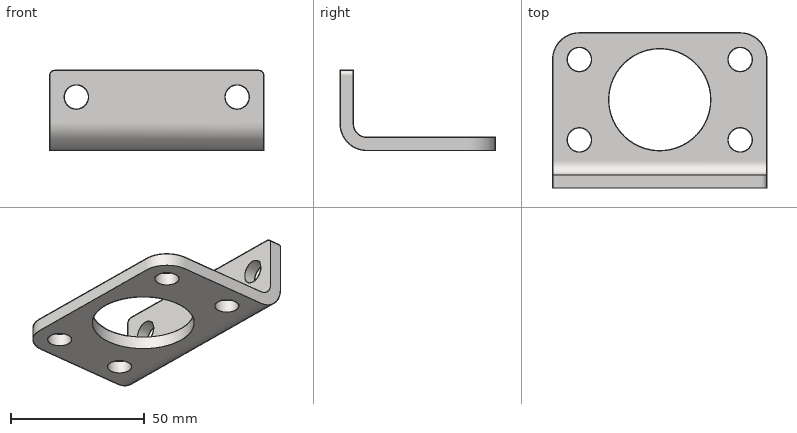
import cadquery as cq

width = 80
depth = 58.0
height = 30.0

bend_outer_radius = 10.0
thickness = bend_outer_radius / 2
bend_inner_radius = bend_outer_radius - thickness

base_corner_radius = 10.0
flange_corner_radius = 2.0

bolt_diameter = 9.0
bolt_edge_distance = 10.0
bolt_spacing_x = width - 2 * bolt_edge_distance
bolt_spacing_y = 30.0
bore_diameter = 38.0

bore_y = depth - bolt_edge_distance - bolt_spacing_y / 2
flange_bolt_z = height - bolt_edge_distance


def bent_sheet():
    """L-shaped sheet, extruded along X and centred on x = 0."""
    profile = (
        cq.Workplane("YZ")
        .moveTo(0, 0)
        .lineTo(depth, 0)
        .lineTo(depth, thickness)
        .lineTo(thickness, thickness)
        .lineTo(thickness, height)
        .lineTo(0, height)
        .close()
    )
    sheet = profile.extrude(width / 2, both=True)
    sheet = sheet.edges("|X and <Y and <Z").fillet(bend_outer_radius)
    inner_corner = cq.selectors.NearestToPointSelector((0, thickness, thickness))
    return sheet.edges("|X").edges(inner_corner).fillet(bend_inner_radius)


def base_cutter():
    """Large bore and the four bolt holes around it, through the base."""
    bore = cq.Workplane("XY").center(0, bore_y).circle(bore_diameter / 2).extrude(thickness)
    bolts = (
        cq.Workplane("XY")
        .center(0, bore_y)
        .rarray(bolt_spacing_x, bolt_spacing_y, 2, 2)
        .circle(bolt_diameter / 2)
        .extrude(thickness)
    )
    return bore.union(bolts)


def flange_cutter():
    """Two bolt holes through the upright flange."""
    return (
        cq.Workplane("XZ")
        .center(0, flange_bolt_z)
        .rarray(bolt_spacing_x, 0.8, 2, 1)
        .circle(bolt_diameter / 2)
        .extrude(-thickness)
    )


bracket = bent_sheet()
bracket = bracket.edges("|Z and >Y").fillet(base_corner_radius)
bracket = bracket.faces(">Z").edges("|Y").fillet(flange_corner_radius)
result = bracket.cut(base_cutter()).cut(flange_cutter())